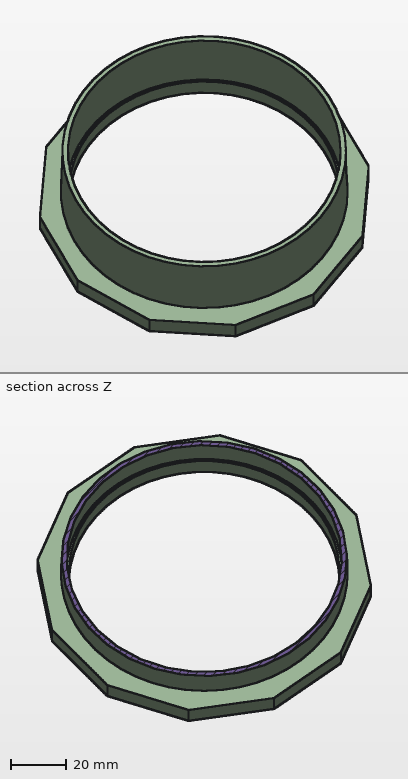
import cadquery as cq

FLANGE_SIDES = 12
FLANGE_DIAMETER = 121.1
FLANGE_HEIGHT = 7.0
FLANGE_BORE_DIAMETER = 98.0

TOTAL_HEIGHT = 32.0
COLLAR_HEIGHT = TOTAL_HEIGHT - FLANGE_HEIGHT
COLLAR_DIAMETER = 103.8
COLLAR_BORE_DIAMETER = 99.8
COLLAR_TAPER = 1.2


def make_flange():
    return (
        cq.Workplane("XY")
        .polygon(FLANGE_SIDES, FLANGE_DIAMETER)
        .circle(FLANGE_BORE_DIAMETER / 2)
        .extrude(FLANGE_HEIGHT)
    )


def make_collar_cone(base_diameter):
    """Truncated cone running from the flange top to the top of the part."""
    top_diameter = base_diameter - COLLAR_TAPER
    return (
        cq.Workplane("XY")
        .workplane(offset=FLANGE_HEIGHT)
        .circle(base_diameter / 2)
        .workplane(offset=COLLAR_HEIGHT)
        .circle(top_diameter / 2)
        .loft(ruled=True)
    )


collar = make_collar_cone(COLLAR_DIAMETER).cut(make_collar_cone(COLLAR_BORE_DIAMETER))

result = make_flange().union(collar)